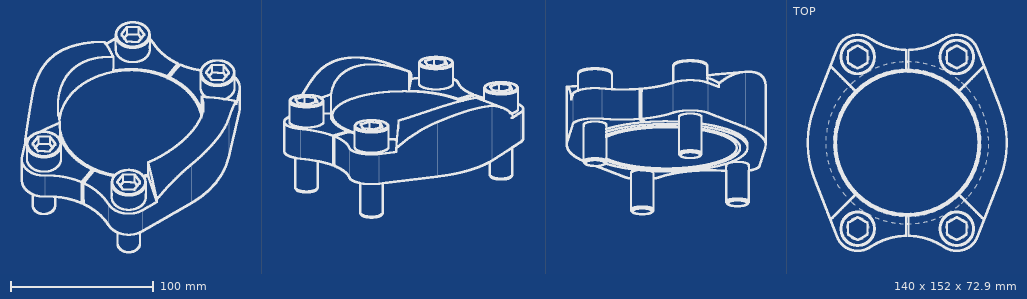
import cadquery as cq
import math

length = 152.0
width = 140.0
clamp_height = 44.8
lug_height = 22.2
valley_y = 65.3
arch_radius = 83.5
split_gap = 1.5
bore_radius = 51.2

bolt_x = 34.8
bolt_y = 60.3
shank_diameter = 16.0
shank_bottom = -28.1
tip_chamfer_height = 1.2
tip_chamfer_width = 0.9
head_diameter = 24.0
head_height = 16.0
head_chamfer_height = 0.9
head_chamfer_width = 0.5
socket_flats = 14.0
socket_depth = 8.0

neck_radius = 100.3 / 2
neck_top = lug_height
shoulder_top = 4.5
flange_radius = 114.3 / 2
flange_bottom = -2.0
neck_fillet = 1.4
seal_inner_diameter = 98.0
seal_outer_diameter = 105.1
seal_bottom = -2.5

side_radius = width / 2
lug_radius = length / 2 - bolt_y
lug_rise = valley_y - bolt_y
scallop_radius = (bolt_x**2 + lug_rise**2 - lug_radius**2) / (2 * (lug_radius - lug_rise))
scallop_center_y = valley_y + scallop_radius
lug_distance = math.hypot(bolt_x, bolt_y)
flank_angle = math.atan2(bolt_y, bolt_x) - math.acos((side_radius - lug_radius) / lug_distance)


def polar(center, radius, angle):
    return center[0] + radius * math.cos(angle), center[1] + radius * math.sin(angle)


def clamp_outline():
    """Closed outline: side arcs, straight flanks, round lugs and scalloped ends."""
    lug = (bolt_x, bolt_y)
    scallop_angle = math.atan2(scallop_center_y - bolt_y, -bolt_x)
    side_end = polar((0, 0), side_radius, flank_angle)
    lug_start = polar(lug, lug_radius, flank_angle)
    lug_middle = polar(lug, lug_radius, (flank_angle + scallop_angle) / 2)
    lug_end = polar(lug, lug_radius, scallop_angle)

    def place(point, x_sign, y_sign):
        return x_sign * point[0], y_sign * point[1]

    outline = cq.Workplane("XY").moveTo(*place(side_end, 1, -1))
    for sign in (1, -1):
        outline = (
            outline.threePointArc((sign * side_radius, 0), place(side_end, sign, sign))
            .lineTo(*place(lug_start, sign, sign))
            .threePointArc(place(lug_middle, sign, sign), place(lug_end, sign, sign))
            .threePointArc((0, sign * valley_y), place(lug_end, -sign, sign))
            .threePointArc(place(lug_middle, -sign, sign), place(lug_start, -sign, sign))
            .lineTo(*place(side_end, -sign, sign))
        )
    return outline.close()


def make_clamp():
    lugs = clamp_outline().extrude(lug_height)

    sectors = cq.Workplane("XY")
    for sign in (1, -1):
        corner = sign * width
        sector = cq.Workplane("XY").polyline([(0, 0), (corner, width), (corner, -width)]).close()
        sectors = sectors.add(sector.extrude(clamp_height))
    crown = (
        cq.Workplane("YZ")
        .center(0, clamp_height - arch_radius)
        .circle(arch_radius)
        .extrude(width, both=True)
    )
    shoulders = clamp_outline().extrude(clamp_height).intersect(sectors.combine()).intersect(crown)

    bore = cq.Workplane("XY").circle(bore_radius).extrude(clamp_height)
    slot = cq.Workplane("XY").box(split_gap, length, clamp_height, centered=(True, True, False))
    return lugs.union(shoulders).cut(bore).cut(slot)


def make_disc():
    """Neck, filleted flange and bulging seal ring as one revolved profile."""
    seal_middle = (seal_inner_diameter + seal_outer_diameter) / 4
    seal_section_radius = (seal_outer_diameter - seal_inner_diameter) / 4
    exposed = flange_bottom - seal_bottom
    half_chord = math.sqrt(exposed * (2 * seal_section_radius - exposed))
    fillet_bend = neck_fillet * (1 - math.sqrt(0.5))
    profile = (
        cq.Workplane("XZ")
        .moveTo(0, flange_bottom)
        .lineTo(seal_middle - half_chord, flange_bottom)
        .threePointArc((seal_middle, seal_bottom), (seal_middle + half_chord, flange_bottom))
        .lineTo(flange_radius, flange_bottom)
        .lineTo(flange_radius, 0)
        .lineTo(bore_radius + neck_fillet, 0)
        .threePointArc((bore_radius + fillet_bend, fillet_bend), (bore_radius, neck_fillet))
        .lineTo(bore_radius, shoulder_top)
        .lineTo(neck_radius, shoulder_top)
        .lineTo(neck_radius, neck_top)
        .lineTo(0, neck_top)
        .close()
    )
    return profile.revolve(360, (0, 0), (0, 1))


def make_bolt():
    """Socket head bolt on the Z axis, its head seated on the lug."""
    shank_radius = shank_diameter / 2
    head_radius = head_diameter / 2
    head_top = lug_height + head_height
    bolt = (
        cq.Workplane("XZ")
        .moveTo(0, shank_bottom)
        .lineTo(shank_radius - tip_chamfer_width, shank_bottom)
        .lineTo(shank_radius, shank_bottom + tip_chamfer_height)
        .lineTo(shank_radius, lug_height)
        .lineTo(head_radius, lug_height)
        .lineTo(head_radius, head_top - head_chamfer_height)
        .lineTo(head_radius - head_chamfer_width, head_top)
        .lineTo(0, head_top)
        .close()
        .revolve(360, (0, 0), (0, 1))
    )
    socket = (
        cq.Workplane("XY", origin=(0, 0, head_top - socket_depth))
        .transformed(rotate=(0, 0, 90))
        .polygon(6, socket_flats / math.cos(math.pi / 6))
        .extrude(socket_depth)
    )
    return bolt.cut(socket)


result = make_clamp().union(make_disc())
for x in (-bolt_x, bolt_x):
    for y in (-bolt_y, bolt_y):
        result = result.union(make_bolt().translate((x, y, 0)))